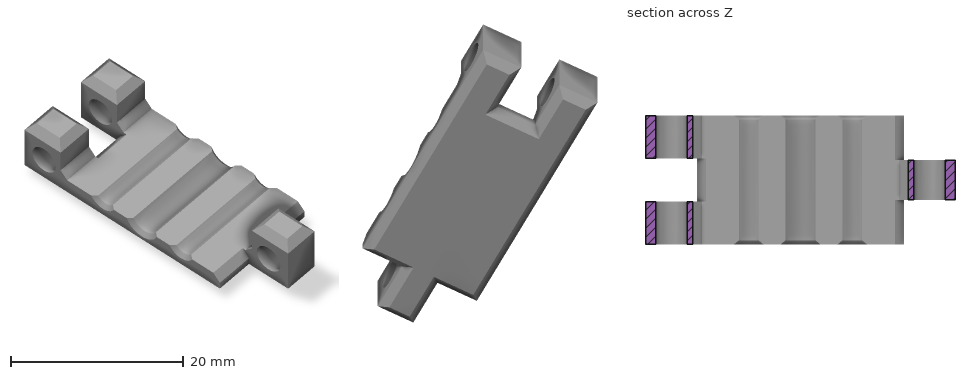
import cadquery as cq

length = 36.0
width = 15.0
height = 8.0
edge_chamfer = 1.0

plate_top = 3.0
plate_end = 30.0
slot_depth = length - plate_end
slot_width = 5.0
tongue_width = 4.68

block_length = 5.55
hole_diameter = 3.6
hole_inset = slot_depth / 2
hole_height = height / 2

groove_spacing = 6.0
small_groove_radius = 1.5
large_groove_radius = 2.0
groove_axis_height = plate_top + 1.0
groove_chamfer = 0.5


def across(profile, span):
    """Extrude a closed X-Z profile over a Y span centred on the part."""
    sketch = cq.Workplane("XZ", origin=(0, span / 2, 0))
    return sketch.polyline(profile).close().extrude(span)


def box_from(x_start, x_end, span):
    """Full-height box between two X positions, centred in Y."""
    box = cq.Workplane("XY").box(x_end - x_start, span, height, centered=(False, True, False))
    return box.translate((x_start, 0, 0))


def hinge_body():
    """Full-height fork and tongue with a chamfer around the underside."""
    plate = box_from(0, plate_end, width)
    slot = box_from(0, slot_depth, slot_width)
    tongue = box_from(slot_depth, length, tongue_width)
    return plate.cut(slot).union(tongue).faces("<Z").edges().chamfer(edge_chamfer)


def plate_clearance():
    """Open space above the plate, with a sloped foot at each hinge block."""
    left = block_length
    right = length - block_length
    foot_top = plate_top + edge_chamfer
    profile = [
        (left, height),
        (left, foot_top),
        (left + edge_chamfer, plate_top),
        (right - edge_chamfer, plate_top),
        (right, foot_top),
        (right, height),
    ]
    return across(profile, width)


def end_bevel(x_end, inward, span):
    """Cutter that bevels a plate end and clears everything above the bevel."""
    x_inner = x_end + inward * edge_chamfer
    profile = [
        (x_end, plate_top - edge_chamfer),
        (x_inner, plate_top),
        (x_inner, height),
        (x_end, height),
    ]
    return across(profile, span)


def groove(x, radius):
    """Round groove cutter along Y, flared conically at both plate sides."""
    half = width / 2
    flare_radius = radius + groove_chamfer
    profile = [
        (0, -half),
        (flare_radius, -half),
        (radius, -half + groove_chamfer),
        (radius, half - groove_chamfer),
        (flare_radius, half),
        (0, half),
    ]
    cutter = cq.Workplane("XY").polyline(profile).close().revolve(360, (0, 0), (0, 1))
    return cutter.translate((x, 0, groove_axis_height))


body = hinge_body().cut(plate_clearance())

tongue_keep = box_from(0, length, tongue_width)
body = body.cut(end_bevel(slot_depth, 1, slot_width))
body = body.cut(end_bevel(plate_end, -1, width).cut(tongue_keep))

body = body.faces(">Z").edges().chamfer(edge_chamfer)

middle = length / 2
body = body.cut(groove(middle, large_groove_radius))
for side in (-1, 1):
    body = body.cut(groove(middle + side * groove_spacing, small_groove_radius))

for hole_x in (hole_inset, length - hole_inset):
    pin = cq.Workplane("XZ", origin=(hole_x, width / 2, hole_height)).circle(hole_diameter / 2).extrude(width)
    body = body.cut(pin)

result = body